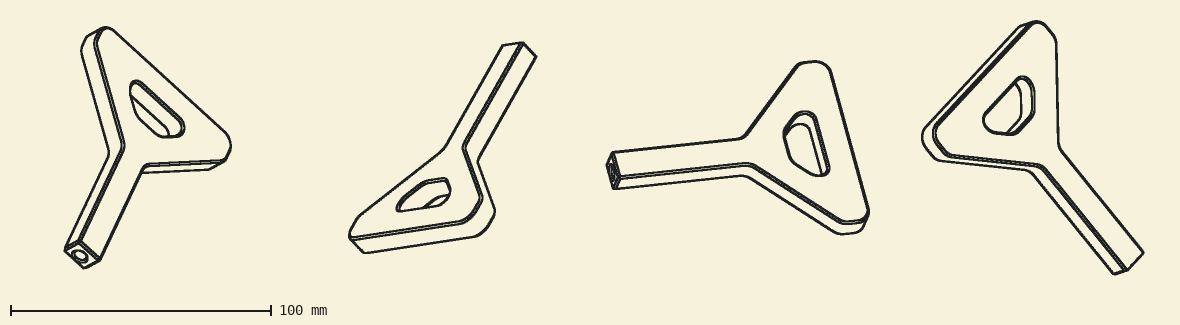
import cadquery as cq

LENGTH = 95.2
HEAD_WIDTH = 72.05
SHAFT_WIDTH = 12.0
THICKNESS = 9.3
TILT_ANGLE = 42.4

CHAMFER = 0.8
CORNER_RADIUS = 5.9

HEAD_SIDE_LENGTH = 12.0
TAPER_LENGTH = (HEAD_WIDTH - SHAFT_WIDTH) / 2

WINDOW_WIDTH = 27.2
WINDOW_LENGTH = 13.3
WINDOW_SIDE_LENGTH = 5.9
WINDOW_TOP_RADIUS = 3.3
WINDOW_TOP_GAP = 11.9

BORE_DIAMETER = 4.95
BORE_DEPTH = 11.4
SINK_DIAMETER = 6.5
SINK_DEPTH = (SINK_DIAMETER - BORE_DIAMETER) / 2
BORE_OFFSET = -1.3

HALF_THICKNESS = THICKNESS / 2


def symmetric_prism(right_side):
    """Extrude an outline given by its +X points, mirrored across the Y axis."""
    left_side = [(-x, y) for x, y in reversed(right_side)]
    outline = cq.Workplane("XY").workplane(offset=-HALF_THICKNESS)
    return outline.polyline(right_side + left_side).close().extrude(THICKNESS)


def edges_at(solid, y):
    """Select the edges along the thickness that stand at the given Y."""
    margin = 0.01
    box = cq.selectors.BoxSelector(
        (-LENGTH, y - margin, -THICKNESS), (LENGTH, y + margin, THICKNESS)
    )
    return solid.edges("|Z").edges(box)


def make_body():
    """T-shaped key blank with rounded corners everywhere but the shaft end."""
    side_end = LENGTH - HEAD_SIDE_LENGTH
    taper_end = side_end - TAPER_LENGTH
    body = symmetric_prism([
        (SHAFT_WIDTH / 2, 0),
        (SHAFT_WIDTH / 2, taper_end),
        (HEAD_WIDTH / 2, side_end),
        (HEAD_WIDTH / 2, LENGTH),
    ])
    for y in (taper_end, side_end, LENGTH):
        body = edges_at(body, y).fillet(CORNER_RADIUS)
    return body


def make_window():
    """Rounded opening that narrows toward the shaft."""
    top = LENGTH - WINDOW_TOP_GAP
    side_end = top - WINDOW_SIDE_LENGTH
    bottom = top - WINDOW_LENGTH
    bottom_half_width = WINDOW_WIDTH / 2 - (side_end - bottom)
    window = symmetric_prism([
        (bottom_half_width, bottom),
        (WINDOW_WIDTH / 2, side_end),
        (WINDOW_WIDTH / 2, top),
    ])
    window = edges_at(window, top).fillet(WINDOW_TOP_RADIUS)
    for y in (side_end, bottom):
        window = edges_at(window, y).fillet(CORNER_RADIUS)
    return window


def chamfer_edges(body):
    """Break all face and end edges, except the lower edge of the shaft end."""
    lower_end_edge = body.faces("<Y").edges("<Z").val()
    rims = body.faces("|Z").edges().vals()
    end_sides = body.faces("<Y").edges("|Z").vals()
    broken_edges = [edge for edge in rims + end_sides if not edge.isSame(lower_end_edge)]
    return body.newObject(broken_edges).chamfer(CHAMFER)


def make_bore():
    """Drill and countersink, revolved about the bore axis."""
    return (
        cq.Workplane("XY", origin=(0, 0, BORE_OFFSET))
        .lineTo(SINK_DIAMETER / 2, 0)
        .lineTo(BORE_DIAMETER / 2, SINK_DEPTH)
        .lineTo(BORE_DIAMETER / 2, BORE_DEPTH)
        .lineTo(0, BORE_DEPTH)
        .close()
        .revolve(360, (0, 0, 0), (0, 1, 0))
    )


key = chamfer_edges(make_body().cut(make_window())).cut(make_bore())
result = key.rotate((0, 0, 0), (0, 1, 0), TILT_ANGLE)